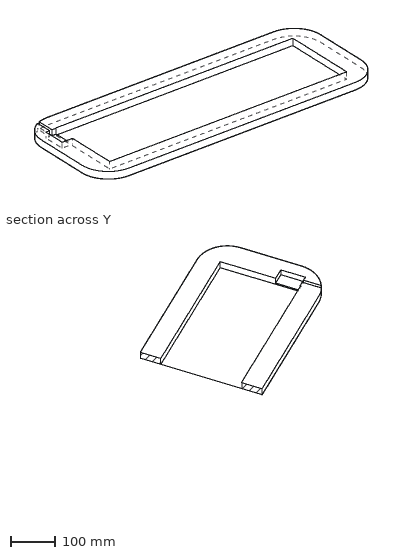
import cadquery as cq

BOARD_WIDTH = 300.0
BOARD_LENGTH = 800.0
BOARD_THICKNESS = 20.0
CORNER_RADIUS = 75.0

RECESS_WIDTH = 198.0
RECESS_END_MARGIN = 60.0
RECESS_FLOOR = 1.0

COMPARTMENT_WIDTH = 60.0
COMPARTMENT_LENGTH = 30.0
COMPARTMENT_INSET = 2.0
COMPARTMENT_DEPTH = 15.0

SLOT_WIDTH = 7.0
SLOT_OFFSET = 12.0

board_left = -BOARD_WIDTH / 2
recess_right = RECESS_WIDTH / 2
recess_left = -recess_right
recess_back = BOARD_LENGTH / 2 - RECESS_END_MARGIN
recess_front = -recess_back
recess_depth = BOARD_THICKNESS - RECESS_FLOOR
compartment_left = recess_left + COMPARTMENT_INSET
compartment_right = compartment_left + COMPARTMENT_WIDTH
compartment_front = recess_front - COMPARTMENT_LENGTH
slot_back = recess_front - SLOT_OFFSET
slot_front = slot_back - SLOT_WIDTH


def make_board():
    """Flat board with rounded vertical corners, resting on Z = 0."""
    board = cq.Workplane("XY").box(
        BOARD_WIDTH, BOARD_LENGTH, BOARD_THICKNESS, centered=(True, True, False)
    )
    return board.edges("|Z").fillet(CORNER_RADIUS)


def make_pocket(left, right, front, back, depth):
    """Rectangular cutter reaching down from the top face."""
    floor_corner = (left, front, BOARD_THICKNESS - depth)
    return cq.Workplane("XY", origin=floor_corner).box(
        right - left, back - front, depth, centered=False
    )


recess = make_pocket(recess_left, recess_right, recess_front, recess_back, recess_depth)

compartment = make_pocket(
    compartment_left, compartment_right, compartment_front, recess_front, COMPARTMENT_DEPTH
)

cable_slot = make_pocket(board_left, compartment_left, slot_front, slot_back, COMPARTMENT_DEPTH)

result = make_board().cut(recess).cut(compartment).cut(cable_slot)